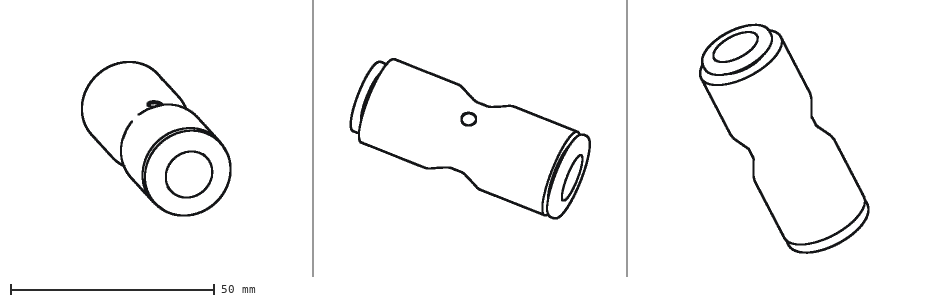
import cadquery as cq


body_length = 49.65
body_radius = 11.05
waist_radius = 8.73
waist_half_length = 2.0
cone_outer_half_length = 7.05
waist_blend = 2.0

recess_radius = 1.8
recess_depth = 0.5
recess_offset = -0.15

left_neck_length = 1.5
left_neck_radius = 6.65
left_flange_thickness = 1.75
left_flange_radius = 9.2
left_flange_blend = 0.4

right_neck_length = 1.0
right_neck_radius = 7.65
right_flange_thickness = 2.0
right_flange_radius = 10.93
right_flange_blend = 0.7

bore_radius = 6.0

body_end = body_length / 2
overlap = 1.0


def disc(x_start, length, radius):
    """Solid cylinder on the X axis running in +X from x_start."""
    return cq.Workplane("YZ", origin=(x_start, 0, 0)).circle(radius).extrude(length)


def make_body():
    """Two barrels joined by a coned waist with softened corners."""
    profile = (
        cq.Workplane("XY")
        .moveTo(-body_end, 0)
        .lineTo(-body_end, body_radius)
        .lineTo(-cone_outer_half_length, body_radius)
        .lineTo(-waist_half_length, waist_radius)
        .lineTo(waist_half_length, waist_radius)
        .lineTo(cone_outer_half_length, body_radius)
        .lineTo(body_end, body_radius)
        .lineTo(body_end, 0)
        .close()
    )
    turned = profile.revolve(360, (0, 0, 0), (1, 0, 0))
    reach = cone_outer_half_length + waist_blend
    corners = cq.selectors.BoxSelector(
        (-reach, -2 * body_radius, -2 * body_radius),
        (reach, 2 * body_radius, 2 * body_radius),
    )
    return turned.edges("%CIRCLE").edges(corners).fillet(waist_blend)


def make_left_collar():
    neck_start = -body_end - left_neck_length
    neck = disc(neck_start, left_neck_length + overlap, left_neck_radius)
    flange = disc(neck_start - left_flange_thickness, left_flange_thickness, left_flange_radius)
    return neck.union(flange.edges("%CIRCLE").fillet(left_flange_blend))


def make_right_collar():
    neck = disc(body_end - overlap, right_neck_length + overlap, right_neck_radius)
    flange = disc(body_end + right_neck_length, right_flange_thickness, right_flange_radius)
    return neck.union(flange.edges("%CIRCLE").fillet(right_flange_blend))


def make_emblem_recess():
    floor = waist_radius - recess_depth
    plane = cq.Workplane("XY", origin=(recess_offset, 0, floor))
    return plane.circle(recess_radius).extrude(body_radius - floor)


def make_bore():
    start = -body_end - left_neck_length - left_flange_thickness
    end = body_end + right_neck_length + right_flange_thickness
    return disc(start, end - start, bore_radius)


result = (
    make_body()
    .union(make_left_collar())
    .union(make_right_collar())
    .cut(make_bore())
    .cut(make_emblem_recess())
)